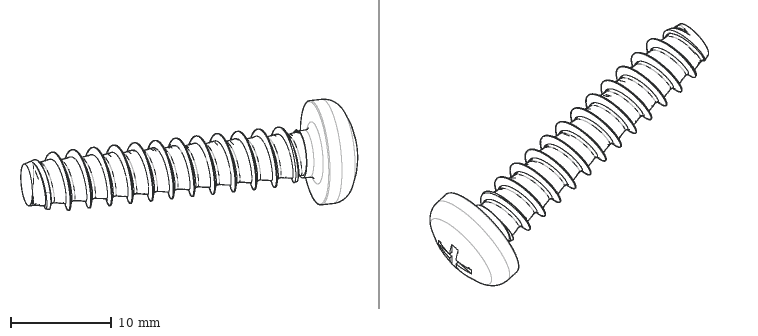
import cadquery as cq
import math


head_radius = 5.25
head_height = 4.15
rim_height = 1.34
rim_edge_radius = 0.1
crown_radius = 8.5

slot_width = 0.9
slot_depth = 0.33

shank_length = 30.0
neck_radius = 2.37
neck_length = 1.48
neck_fillet_radius = 0.75
tip_radius = 2.1
tip_cone_height = 0.08

pitch = 2.143
crest_radius = 3.0
crest_width = 0.1
crest_clearance = 0.05
crest_level = -6.99
upper_root_radius = 2.18
upper_root_offset = 0.36
lower_root_radius = 2.3
lower_root_offset = 0.27
valley_radius = 2.1
valley_offset = 0.68
spiral_steps = 12

run_in_radius = 2.5
run_in_end = -3.8
run_out_start = -26.7


def make_head():
    crown_center = head_height - crown_radius
    rise = rim_height - crown_center
    shoulder_radius = (crown_radius**2 - head_radius**2 - rise**2) / (2 * (crown_radius - head_radius))
    crown_angle = math.atan2(head_radius - shoulder_radius, rise)
    crown_edge_radius = crown_radius * math.sin(crown_angle)
    crown_edge_level = crown_center + crown_radius * math.cos(crown_angle)
    middle_angle = crown_angle / 2
    crown_middle = (
        crown_radius * math.sin(middle_angle),
        crown_center + crown_radius * math.cos(middle_angle),
    )
    head = (
        cq.Workplane("XZ")
        .lineTo(head_radius, 0)
        .lineTo(head_radius, rim_height)
        .tangentArcPoint((crown_edge_radius, crown_edge_level), relative=False)
        .threePointArc(crown_middle, (0, head_height))
        .close()
        .revolve(360, (0, 0, 0), (0, 1, 0))
        .faces("<Z")
        .edges()
        .fillet(rim_edge_radius)
    )
    slot_floor = head_height - slot_depth
    for length_x, length_y in ((2 * head_radius, slot_width), (slot_width, 2 * head_radius)):
        slot = cq.Workplane("XY", origin=(0, 0, slot_floor)).rect(length_x, length_y).extrude(head_height)
        head = head.cut(slot)
    return head


def make_neck():
    """Plain neck with its fillet, reaching up into the head."""
    flare_radius = neck_radius + neck_fillet_radius
    fillet_drop = neck_fillet_radius * (1 - math.sqrt(0.5))
    return (
        cq.Workplane("XZ")
        .moveTo(0, rim_height)
        .lineTo(flare_radius, rim_height)
        .lineTo(flare_radius, 0)
        .threePointArc((neck_radius + fillet_drop, -fillet_drop), (neck_radius, -neck_fillet_radius))
        .lineTo(neck_radius, -neck_length)
        .lineTo(0, -neck_length)
        .close()
        .revolve(360, (0, 0, 0), (0, 1, 0))
    )


def make_taper_envelope():
    """Turned envelope of the threaded length: clear of the crests, tapered at both ends."""
    clear_radius = crest_radius + crest_clearance
    run_in_slope = (crest_radius - run_in_radius) / (neck_length + run_in_end)
    top_radius = run_in_radius + run_in_slope * neck_length
    return (
        cq.Workplane("XZ")
        .lineTo(top_radius, 0)
        .lineTo(clear_radius, run_in_end)
        .lineTo(clear_radius, run_out_start)
        .lineTo(tip_radius, tip_cone_height - shank_length)
        .lineTo(0, -shank_length)
        .close()
        .revolve(360, (0, 0, 0), (0, 1, 0))
    )


def make_thread_section(level):
    """Cross-section of the threaded rod at a level: one spiral per flank and an arc for the crest."""
    level_angle = 2 * math.pi * (level - crest_level) / pitch

    def section_point(height_above_crest, radius):
        angle = level_angle - 2 * math.pi * height_above_crest / pitch
        return cq.Vector(radius * math.cos(angle), radius * math.sin(angle), level)

    def make_spiral(start, end):
        points = []
        for step in range(spiral_steps + 1):
            share = step / spiral_steps
            height = start[0] + (end[0] - start[0]) * share
            radius = start[1] + (end[1] - start[1]) * share
            points.append(section_point(height, radius))
        return cq.Edge.makeSpline(points)

    half_crest = crest_width / 2
    profile = [
        (half_crest, crest_radius),
        (upper_root_offset, upper_root_radius),
        (valley_offset, valley_radius),
        (pitch - lower_root_offset, lower_root_radius),
        (pitch - half_crest, crest_radius),
    ]
    edges = [make_spiral(start, end) for start, end in zip(profile, profile[1:])]
    crest_points = [section_point(height, crest_radius) for height in (-half_crest, 0, half_crest)]
    edges.append(cq.Edge.makeThreePointArc(*crest_points))
    return cq.Wire.assembleEdges(edges)


def make_threaded_shank():
    """Right-hand threaded rod, twisted up from its cross-section and trimmed at both ends."""
    rod_bottom = -shank_length
    rod_length = shank_length - neck_length
    rod = cq.Solid.extrudeLinearWithRotation(
        make_thread_section(rod_bottom),
        [],
        cq.Vector(0, 0, rod_bottom),
        cq.Vector(0, 0, rod_length),
        360 * rod_length / pitch,
    )
    return cq.Workplane(rod).intersect(make_taper_envelope())


screw = make_head().union(make_neck()).union(make_threaded_shank())
result = screw.rotate((0, 0, 0), (1, 0, 0), -90)